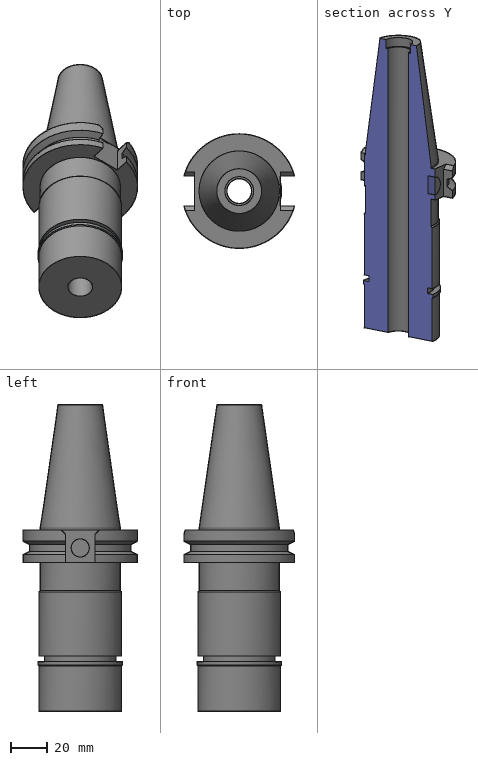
import cadquery as cq

TOTAL_HEIGHT = 169.8
GAUGE_Z = 101.5
FLANGE_TOP_Z = 100.5
FLANGE_BOTTOM_Z = 82.4
GROOVE_CENTER_Z = 90.5
NECK_BOTTOM_Z = 67.0
SLEEVE_TOP_Z = 66.0
SLEEVE_BOTTOM_Z = 30.5
COLLAR_TOP_Z = 27.5
COLLAR_BOTTOM_Z = 25.6
NOSE_TOP_Z = 25.1

TAPER_TOP_RADIUS = 12.4
GAUGE_RADIUS = 22.3
FLANGE_RADIUS = 31.8
GRIPPER_GROOVE_RADIUS = 28.2
SLEEVE_RADIUS = 23.0
RELIEF_RADIUS = 19.9
COLLAR_RADIUS = 23.5

GROOVE_FLOOR_HALF_WIDTH = 1.9
GROOVE_FLANK_HEIGHT = 1.9
GROOVE_MOUTH_HALF_WIDTH = GROOVE_FLOOR_HALF_WIDTH + GROOVE_FLANK_HEIGHT

BORE_RADIUS = 6.8
COUNTERBORE_RADIUS = 8.0
COUNTERBORE_DEPTH = 5.1

SLOT_HALF_WIDTH = 8.24
SLOT_CHAMFER = 2.4
LEFT_SLOT_FLOOR_X = -24.8
RIGHT_SLOT_FLOOR_X = 22.8

CHIP_RADIUS = 5.01
CHIP_THICKNESS = 4.6


def turned_blank():
    """Solid of revolution: taper, flange, neck, sleeve and nose."""
    profile = [
        (0, 0),
        (SLEEVE_RADIUS, 0),
        (SLEEVE_RADIUS, NOSE_TOP_Z),
        (COLLAR_RADIUS, COLLAR_BOTTOM_Z),
        (COLLAR_RADIUS, COLLAR_TOP_Z),
        (RELIEF_RADIUS, COLLAR_TOP_Z),
        (RELIEF_RADIUS, SLEEVE_BOTTOM_Z),
        (SLEEVE_RADIUS, SLEEVE_BOTTOM_Z),
        (SLEEVE_RADIUS, SLEEVE_TOP_Z),
        (GAUGE_RADIUS, NECK_BOTTOM_Z),
        (GAUGE_RADIUS, FLANGE_BOTTOM_Z),
        (FLANGE_RADIUS, FLANGE_BOTTOM_Z),
        (FLANGE_RADIUS, GROOVE_CENTER_Z - GROOVE_MOUTH_HALF_WIDTH),
        (GRIPPER_GROOVE_RADIUS, GROOVE_CENTER_Z - GROOVE_FLOOR_HALF_WIDTH),
        (GRIPPER_GROOVE_RADIUS, GROOVE_CENTER_Z + GROOVE_FLOOR_HALF_WIDTH),
        (FLANGE_RADIUS, GROOVE_CENTER_Z + GROOVE_MOUTH_HALF_WIDTH),
        (FLANGE_RADIUS, FLANGE_TOP_Z),
        (GAUGE_RADIUS, FLANGE_TOP_Z),
        (GAUGE_RADIUS, GAUGE_Z),
        (TAPER_TOP_RADIUS, TOTAL_HEIGHT),
        (0, TOTAL_HEIGHT),
    ]
    return cq.Workplane("XZ").polyline(profile).close().revolve(360, (0, 0), (0, 1))


def drive_slot(floor_x):
    """Cutter from a slot floor out past the flange rim, widening at the flange top."""
    mouth_half_width = SLOT_HALF_WIDTH + SLOT_CHAMFER
    chamfer_z = FLANGE_TOP_Z - SLOT_CHAMFER
    outward = 1 if floor_x > 0 else -1
    cut_length = outward * FLANGE_RADIUS - floor_x
    section = [
        (-SLOT_HALF_WIDTH, FLANGE_BOTTOM_Z),
        (SLOT_HALF_WIDTH, FLANGE_BOTTOM_Z),
        (SLOT_HALF_WIDTH, chamfer_z),
        (mouth_half_width, FLANGE_TOP_Z),
        (-mouth_half_width, FLANGE_TOP_Z),
        (-SLOT_HALF_WIDTH, chamfer_z),
    ]
    return cq.Workplane("YZ", origin=(floor_x, 0, 0)).polyline(section).close().extrude(cut_length)


def make_chip():
    """Flush disc, also the shape of the recess that holds it."""
    plane = cq.Workplane("YZ", origin=(LEFT_SLOT_FLOOR_X, 0, GROOVE_CENTER_Z))
    return plane.circle(CHIP_RADIUS).extrude(CHIP_THICKNESS)


def make_holder():
    """Turned blank with its stepped bore, drive slots and chip recess."""
    bore = cq.Workplane("XY").circle(BORE_RADIUS).extrude(TOTAL_HEIGHT)
    counterbore = (
        cq.Workplane("XY", origin=(0, 0, TOTAL_HEIGHT))
        .circle(COUNTERBORE_RADIUS)
        .extrude(-COUNTERBORE_DEPTH)
    )
    body = turned_blank().cut(bore).cut(counterbore)
    for floor_x in (LEFT_SLOT_FLOOR_X, RIGHT_SLOT_FLOOR_X):
        body = body.cut(drive_slot(floor_x))
    return body.cut(make_chip())


holder = make_holder()
chip = make_chip()
result = cq.Compound.makeCompound([holder.val(), chip.val()])